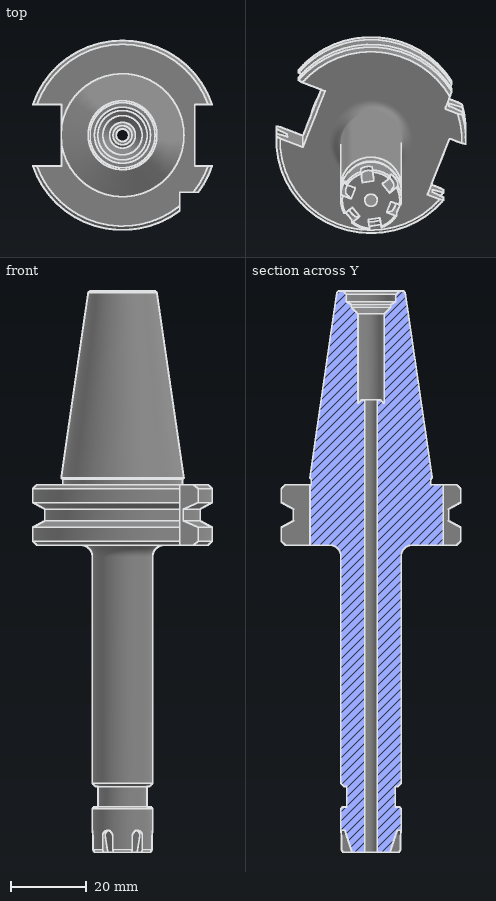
import cadquery as cq
import math

TOTAL_LENGTH = 147.8

TAPER_RATE = 7.0 / 24.0
TAPER_TOP_RADIUS = 9.0
TAPER_TOP_CHAMFER = 0.5
TAPER_LENGTH = 49.2
TAPER_BASE_RADIUS = TAPER_TOP_RADIUS + TAPER_LENGTH * TAPER_RATE / 2
RELIEF_RADIUS = 15.8
RELIEF_BEVEL = TAPER_BASE_RADIUS - RELIEF_RADIUS

FLANGE_RADIUS = 25.0
FLANGE_THICKNESS = 16.0
FLANGE_DROP = 51.0
FLANGE_CHAMFER = 1.0
GROOVE_DROP = 8.0
GROOVE_FLOOR_WIDTH = 3.1
GROOVE_DEPTH = 3.0
GROOVE_SLOPE = math.radians(30)

SLOT_WIDTH = 16.1
SHALLOW_SLOT_FLOOR = 19.0
DEEP_SLOT_FLOOR = 16.1
NOTCH_OFFSET = 15.1

SHANK_RADIUS = 8.0
SHANK_FILLET = 3.0
SHANK_END_CHAMFER = 0.9
NECK_RADIUS = 6.5
NECK_LENGTH = 5.3
NUT_RADIUS = SHANK_RADIUS
NUT_HEIGHT = 12.0
NUT_CHAMFER = 0.5
NUT_FACE_CHAMFER_HEIGHT = 0.7

SPANNER_SLOT_COUNT = 6
SPANNER_SLOT_WIDTH = 3.1
SPANNER_SLOT_HEIGHT = 5.8
SPANNER_SLOT_FLOOR = 5.0
SPANNER_SLOT_TILT = 18.0

MOUTH_CHAMFER = 0.9
COUNTERBORE_RADIUS = 6.5
COUNTERBORE_DEPTH = 2.8
LEAD_IN_SLOPE = math.radians(60)
THREAD_RADIUS = 5.2
THREAD_DROP = 4.3
BORE_RADIUS = 3.4
BORE_DEPTH = 29.5
SCREW_TIP_RADIUS = 2.5
COOLANT_RADIUS = 1.6

TAPER_BASE_Z = TOTAL_LENGTH - TAPER_LENGTH
FLANGE_TOP = TOTAL_LENGTH - FLANGE_DROP
FLANGE_BOTTOM = FLANGE_TOP - FLANGE_THICKNESS
SHANK_END = NUT_HEIGHT + NECK_LENGTH


def turned_body():
    """Revolve the outer outline, listed from the nut face up to the top of the taper."""
    groove_z = FLANGE_TOP - GROOVE_DROP
    floor_half = GROOVE_FLOOR_WIDTH / 2
    mouth_half = floor_half + GROOVE_DEPTH * math.tan(GROOVE_SLOPE)
    groove_radius = FLANGE_RADIUS - GROOVE_DEPTH
    rim_radius = FLANGE_RADIUS - FLANGE_CHAMFER
    chamfered_top_radius = TAPER_TOP_RADIUS - TAPER_TOP_CHAMFER
    chamfer_base_radius = TAPER_TOP_RADIUS + TAPER_TOP_CHAMFER * TAPER_RATE / 2
    fillet_mid = SHANK_FILLET * (1 - math.sqrt(0.5))
    outline = (
        cq.Workplane("XZ")
        .moveTo(0, 0)
        .lineTo(NUT_RADIUS - NUT_CHAMFER, 0)
        .lineTo(NUT_RADIUS, NUT_FACE_CHAMFER_HEIGHT)
        .lineTo(NUT_RADIUS, NUT_HEIGHT - NUT_CHAMFER)
        .lineTo(NUT_RADIUS - NUT_CHAMFER, NUT_HEIGHT)
        .lineTo(NECK_RADIUS, NUT_HEIGHT)
        .lineTo(NECK_RADIUS, SHANK_END)
        .lineTo(SHANK_RADIUS - SHANK_END_CHAMFER, SHANK_END)
        .lineTo(SHANK_RADIUS, SHANK_END + SHANK_END_CHAMFER)
        .lineTo(SHANK_RADIUS, FLANGE_BOTTOM - SHANK_FILLET)
        .threePointArc(
            (SHANK_RADIUS + fillet_mid, FLANGE_BOTTOM - fillet_mid),
            (SHANK_RADIUS + SHANK_FILLET, FLANGE_BOTTOM),
        )
        .lineTo(rim_radius, FLANGE_BOTTOM)
        .lineTo(FLANGE_RADIUS, FLANGE_BOTTOM + FLANGE_CHAMFER)
        .lineTo(FLANGE_RADIUS, groove_z - mouth_half)
        .lineTo(groove_radius, groove_z - floor_half)
        .lineTo(groove_radius, groove_z + floor_half)
        .lineTo(FLANGE_RADIUS, groove_z + mouth_half)
        .lineTo(FLANGE_RADIUS, FLANGE_TOP - FLANGE_CHAMFER)
        .lineTo(rim_radius, FLANGE_TOP)
        .lineTo(RELIEF_RADIUS, FLANGE_TOP)
        .lineTo(RELIEF_RADIUS, TAPER_BASE_Z - RELIEF_BEVEL)
        .lineTo(TAPER_BASE_RADIUS, TAPER_BASE_Z)
        .lineTo(chamfer_base_radius, TOTAL_LENGTH - TAPER_TOP_CHAMFER)
        .lineTo(chamfered_top_radius, TOTAL_LENGTH)
        .lineTo(0, TOTAL_LENGTH)
        .close()
    )
    return outline.revolve(360, (0, 0, 0), (0, 1, 0))


def stepped_bore():
    """Revolve the bore from the mouth down to the raised screw end, with a hole through it."""
    bore_bottom = TOTAL_LENGTH - BORE_DEPTH
    screw_tip_z = bore_bottom + BORE_RADIUS - SCREW_TIP_RADIUS
    lead_in_height = (COUNTERBORE_RADIUS - THREAD_RADIUS) / math.tan(LEAD_IN_SLOPE)
    thread_top = TOTAL_LENGTH - COUNTERBORE_DEPTH - lead_in_height
    cone_drop = THREAD_DROP + THREAD_RADIUS - BORE_RADIUS
    outline = (
        cq.Workplane("XZ")
        .moveTo(0, 0)
        .lineTo(COOLANT_RADIUS, 0)
        .lineTo(COOLANT_RADIUS, screw_tip_z)
        .lineTo(SCREW_TIP_RADIUS, screw_tip_z)
        .lineTo(BORE_RADIUS, bore_bottom)
        .lineTo(BORE_RADIUS, TOTAL_LENGTH - cone_drop)
        .lineTo(THREAD_RADIUS, TOTAL_LENGTH - THREAD_DROP)
        .lineTo(THREAD_RADIUS, thread_top)
        .lineTo(COUNTERBORE_RADIUS, TOTAL_LENGTH - COUNTERBORE_DEPTH)
        .lineTo(COUNTERBORE_RADIUS, TOTAL_LENGTH - MOUTH_CHAMFER)
        .lineTo(COUNTERBORE_RADIUS + MOUTH_CHAMFER, TOTAL_LENGTH)
        .lineTo(0, TOTAL_LENGTH)
        .close()
    )
    return outline.revolve(360, (0, 0, 0), (0, 1, 0))


def flange_cut(x_range, y_range):
    """Box through the full flange thickness over the given X and Y ranges."""
    return (
        cq.Workplane("XY", origin=(0, 0, FLANGE_BOTTOM))
        .moveTo(x_range[0], y_range[0])
        .lineTo(x_range[1], y_range[0])
        .lineTo(x_range[1], y_range[1])
        .lineTo(x_range[0], y_range[1])
        .close()
        .extrude(FLANGE_THICKNESS)
    )


def spanner_slot(angle):
    """Round-topped radial slot, open at the nut face, at the given angle about Z."""
    half_width = SPANNER_SLOT_WIDTH / 2
    arch_z = SPANNER_SLOT_HEIGHT - half_width
    floor_top = SPANNER_SLOT_FLOOR + SPANNER_SLOT_HEIGHT * math.tan(math.radians(SPANNER_SLOT_TILT))
    arched_slot = (
        cq.Workplane("YZ", origin=(SPANNER_SLOT_FLOOR, 0, 0))
        .moveTo(-half_width, 0)
        .lineTo(half_width, 0)
        .lineTo(half_width, arch_z)
        .threePointArc((0, SPANNER_SLOT_HEIGHT), (-half_width, arch_z))
        .close()
        .extrude(NUT_RADIUS)
    )
    floor_side = (
        cq.Workplane("XZ", origin=(0, half_width, 0))
        .moveTo(SPANNER_SLOT_FLOOR, 0)
        .lineTo(2 * NUT_RADIUS, 0)
        .lineTo(2 * NUT_RADIUS, SPANNER_SLOT_HEIGHT)
        .lineTo(floor_top, SPANNER_SLOT_HEIGHT)
        .close()
        .extrude(SPANNER_SLOT_WIDTH)
    )
    return arched_slot.intersect(floor_side).rotate((0, 0, 0), (0, 0, 1), angle)


result = turned_body().cut(stepped_bore())

half_slot = SLOT_WIDTH / 2
result = result.cut(flange_cut((SHALLOW_SLOT_FLOOR, FLANGE_RADIUS), (-half_slot, half_slot)))
result = result.cut(flange_cut((-FLANGE_RADIUS, -DEEP_SLOT_FLOOR), (-half_slot, half_slot)))
result = result.cut(flange_cut((NOTCH_OFFSET, FLANGE_RADIUS), (-FLANGE_RADIUS, -NOTCH_OFFSET)))

for index in range(SPANNER_SLOT_COUNT):
    result = result.cut(spanner_slot(index * 360 / SPANNER_SLOT_COUNT))